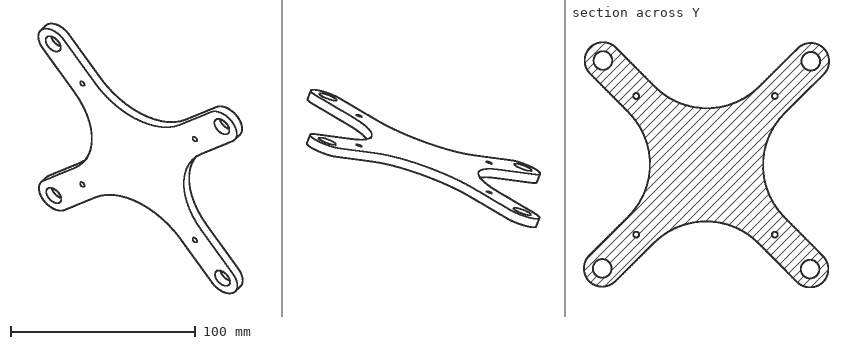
import cadquery as cq
import math

overall_length = 132.8
thickness = 5.0

arm_end_radius = 10.0
waist_radius = 40.0
arm_twist = 0.2

end_hole_diameter = 10.0
small_hole_diameter = 3.0
small_hole_pitch = 75.0
small_hole_shift_x = 0.5
small_hole_shift_z = -0.3

twist = math.radians(arm_twist)
end_pitch = (overall_length - 2 * arm_end_radius) / (math.cos(twist) + math.sin(twist))
end_offset = end_pitch / 2

diagonal = math.sqrt(0.5)
edge_intercept = arm_end_radius / diagonal
waist_center = edge_intercept + waist_radius / diagonal
waist_half_width = waist_center - waist_radius
touch_x = waist_radius * diagonal
touch_z = touch_x + edge_intercept


def turned(x, z, quarter_turns):
    """Rotate a point about the centre by quarter turns clockwise."""
    for _ in range(quarter_turns):
        x, z = z, -x
    return x, z


def make_cross():
    """Four-armed plate, drawn clockwise from the top left arc end."""
    side_shift = arm_end_radius * diagonal
    tip = end_offset + side_shift
    inner = end_offset - side_shift
    outline = cq.Workplane("XZ").moveTo(-touch_x, touch_z)
    for turns in range(4):
        outline = (
            outline
            .threePointArc(turned(0, waist_half_width, turns), turned(touch_x, touch_z, turns))
            .lineTo(*turned(inner, tip, turns))
            .threePointArc(turned(tip, tip, turns), turned(tip, inner, turns))
            .lineTo(*turned(touch_z, touch_x, turns))
        )
    return outline.close().extrude(thickness / 2, both=True)


def square_of_holes(pitch, diameter):
    """Four through cutters at the corners of a square."""
    return (
        cq.Workplane("XZ")
        .rect(pitch, pitch, forConstruction=True)
        .vertices()
        .circle(diameter / 2)
        .extrude(thickness, both=True)
    )


arms = make_cross().cut(square_of_holes(end_pitch, end_hole_diameter))
arms = arms.rotate((0, 0, 0), (0, -1, 0), arm_twist)
small_holes = square_of_holes(small_hole_pitch, small_hole_diameter)
result = arms.cut(small_holes.translate((small_hole_shift_x, 0, small_hole_shift_z)))